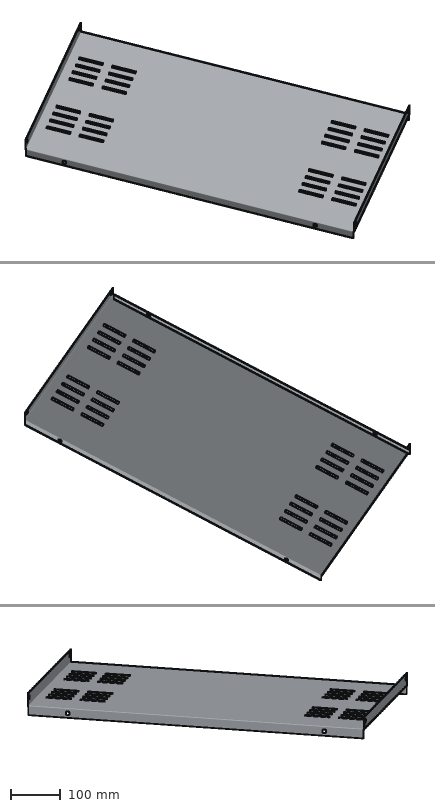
import cadquery as cq
import math

length = 699.0
width = 344.0
height = 45.0
thickness = 1.5
bend_radius = 0.2

skirt_height = 20.0
skirt_end_inset = 1.75
skirt_corner_radius = 2.0
upstand_side_inset = thickness

skirt_hole_diameter = 8.0
skirt_hole_x = 266.0
skirt_hole_drop = 10.5
upstand_hole_diameter = 7.5
upstand_hole_y = 162.5
upstand_hole_drop = 10.0

slot_length = 50.0
slot_width = 5.0
slot_columns_x = (233.0, 303.0)
slot_first_row_y = 40.0
slot_row_pitch = 20.0
slot_rows = 4

panel_top = thickness
skirt_bottom = panel_top - skirt_height
upstand_top = skirt_bottom + height
outer_radius = bend_radius + thickness

flat_x = length / 2 - outer_radius
flat_y = width / 2 - outer_radius
skirt_length = length - 2 * skirt_end_inset
upstand_width = width - 2 * upstand_side_inset
SIDES = (-1, 1)


def make_panel():
    """Flat panel up to the start of the folds."""
    return cq.Workplane("XY").box(2 * flat_x, 2 * flat_y, thickness, centered=(True, True, False))


def fold_section(plane, flat_end, tip):
    """Closed section of a 90 degree fold and its flange, drawn on the given plane.

    The flat ends at flat_end, with its inside face at level 0 and its outside face at
    -thickness. The flange rises to the level tip.
    """
    diagonal = math.sin(math.pi / 4)
    inner_mid = (flat_end + bend_radius * diagonal, bend_radius * (1 - diagonal))
    outer_mid = (flat_end + outer_radius * diagonal, bend_radius - outer_radius * diagonal)
    return (
        plane.moveTo(flat_end, -thickness)
        .threePointArc(outer_mid, (flat_end + outer_radius, bend_radius))
        .lineTo(flat_end + outer_radius, tip)
        .lineTo(flat_end + bend_radius, tip)
        .lineTo(flat_end + bend_radius, bend_radius)
        .threePointArc(inner_mid, (flat_end, 0))
        .close()
    )


def make_upstand():
    """Upward flange on the +X end, with a fixing hole near each corner."""
    plane = cq.Workplane("XZ", origin=(0, 0, panel_top))
    upstand = fold_section(plane, flat_x, upstand_top - panel_top).extrude(upstand_width / 2, both=True)
    holes = (
        cq.Workplane("YZ", origin=(flat_x, 0, 0))
        .pushPoints([(side * upstand_hole_y, upstand_top - upstand_hole_drop) for side in SIDES])
        .circle(upstand_hole_diameter / 2)
        .extrude(outer_radius)
    )
    return upstand.cut(holes)


def make_skirt():
    """Downward flange on the +Y edge, with rounded lower corners and two fixing holes."""
    downward_plane = cq.Plane(origin=(0, 0, 0), xDir=(0, 1, 0), normal=(-1, 0, 0))
    plane = cq.Workplane(downward_plane)
    skirt = fold_section(plane, flat_y, -skirt_bottom).extrude(skirt_length / 2, both=True)
    skirt = skirt.faces("<Z").edges("|Y").fillet(skirt_corner_radius)
    holes = (
        cq.Workplane("XZ", origin=(0, flat_y, 0))
        .pushPoints([(side * skirt_hole_x, panel_top - skirt_hole_drop) for side in SIDES])
        .circle(skirt_hole_diameter / 2)
        .extrude(-outer_radius)
    )
    return skirt.cut(holes)


def make_vent_slots():
    """Cutters for all ventilation slots."""
    row_positions = [slot_first_row_y + row * slot_row_pitch for row in range(slot_rows)]
    centres = [
        (side_x * x, side_y * y)
        for side_x in SIDES
        for side_y in SIDES
        for x in slot_columns_x
        for y in row_positions
    ]
    return cq.Workplane("XY").pushPoints(centres).rect(slot_length, slot_width).extrude(thickness)


upstand = make_upstand()
skirt = make_skirt()
result = (
    make_panel()
    .union(upstand)
    .union(upstand.mirror("YZ"))
    .union(skirt)
    .union(skirt.mirror("XZ"))
    .cut(make_vent_slots())
)